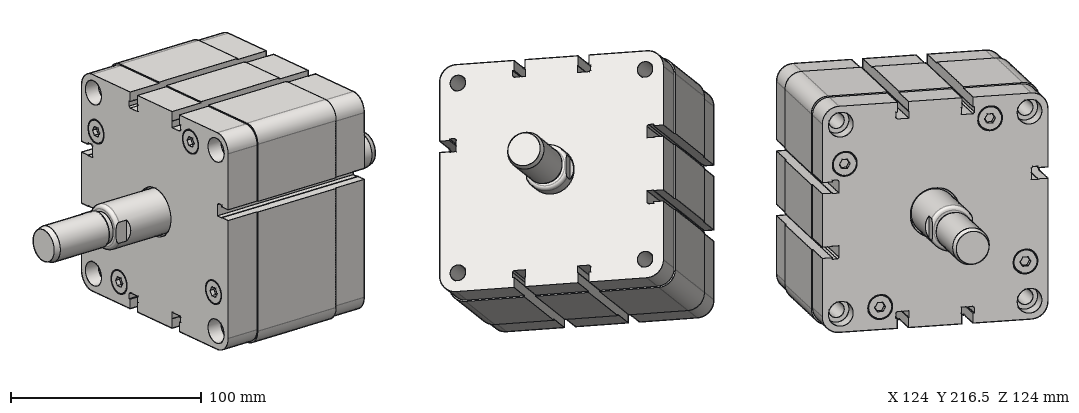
import cadquery as cq
import math


total_length = 216.5
rod_end = total_length / 2
rod_diameter = 25.0
rod_edge_radius = 2.2
thread_diameter = 20.0
thread_length = 36.4
tip_chamfer_length = 3.2
tip_chamfer_depth = 1.0
undercut_diameter = 17.5
undercut_length = 3.5
undercut_runout = 0.6
shoulder = rod_end - thread_length - undercut_length
flat_width = 21.9
flat_length = 7.4

barrel_side = 124.0
cap_inset = 0.6
cap_side = barrel_side - 2 * cap_inset
corner_radius = 9.0
body_front = -33.3
body_length = 91.8
cap_length = 19.5
body_back = body_front + body_length
barrel_length = body_length - 2 * cap_length

slot_offset = 17.5
slot_depth = 9.7
slot_width = 6.0
slot_foot_width = 7.1
slot_foot_shift = 0.32
slot_foot_height = 3.7
slot_foot_chamfer = 0.9
top, left, bottom, right = 0, 90, 180, 270
slots = [(top, -1), (top, 1), (left, -1), (left, 1), (bottom, -1), (bottom, 1), (right, -1)]

mount_offset = 51.3
mount_hole_diameter = 8.5
mount_bore_diameter = 13.5
mount_bore_depth = 8.7

screw_x = 29.9
screw_z = 49.1
screw_bore_diameter = 13.5
screw_head_diameter = 12.5
screw_gap_depth = 2.2
hex_across_flats = 5.0
hex_depth = 2.5

rod_recess_diameter = 27.0
rod_recess_depth = 2.2


def front_plane(y):
    """Plane across the rod axis at y, with local +Y along Z and its normal toward the front (-Y)."""
    return cq.Workplane("XZ", origin=(0, y, 0))


def square_block(side, y_front, length):
    block = front_plane(y_front).rect(side, side).extrude(-length)
    return block.edges("|Y").fillet(corner_radius)


def make_slot(turn, side):
    """Cutter for one slot; turn picks the body face and side the half of that face."""
    floor = barrel_side / 2 - slot_depth
    neck_height = slot_depth - slot_foot_chamfer
    foot = (
        front_plane(body_front)
        .center(side * (slot_offset + slot_foot_shift), floor + slot_foot_height / 2)
        .rect(slot_foot_width, slot_foot_height)
        .extrude(-body_length)
    )
    outer_edge = "<Z and >X" if side > 0 else "<Z and <X"
    foot = foot.edges(outer_edge).chamfer(slot_foot_chamfer)
    neck = (
        front_plane(body_front)
        .center(side * slot_offset, floor + slot_foot_chamfer + neck_height / 2)
        .rect(slot_width, neck_height)
        .extrude(-body_length)
    )
    return foot.union(neck).rotate((0, 0, 0), (0, -1, 0), turn)


def make_rod_half():
    """Front half of the rod, from mid-length to its tip, with two wrench flats."""
    rod_radius = rod_diameter / 2
    thread_radius = thread_diameter / 2
    undercut_radius = undercut_diameter / 2
    thread_start = shoulder + undercut_length
    front_half = (
        cq.Workplane("XY")
        .moveTo(0, 0)
        .lineTo(rod_radius, 0)
        .lineTo(rod_radius, -shoulder + rod_edge_radius)
        .radiusArc((rod_radius - rod_edge_radius, -shoulder), rod_edge_radius)
        .lineTo(undercut_radius, -shoulder)
        .lineTo(undercut_radius, -thread_start + undercut_runout)
        .lineTo(thread_radius, -thread_start)
        .lineTo(thread_radius, -rod_end + tip_chamfer_length)
        .lineTo(thread_radius - tip_chamfer_depth, -rod_end)
        .lineTo(0, -rod_end)
        .close()
        .revolve(360, (0, 0), (0, 1))
    )
    flat_cut_depth = rod_radius - flat_width / 2
    flat_end = -shoulder + flat_length
    flat_cutter = (
        cq.Workplane("XY", origin=(0, 0, -rod_radius))
        .moveTo(flat_width / 2, -shoulder)
        .lineTo(flat_width / 2, flat_end)
        .lineTo(rod_radius, flat_end + flat_cut_depth)
        .lineTo(rod_radius, -shoulder)
        .close()
        .extrude(rod_diameter)
    )
    return front_half.cut(flat_cutter).cut(flat_cutter.mirror("YZ"))


body = square_block(barrel_side, body_front + cap_length, barrel_length)
body = body.union(square_block(cap_side, body_front, cap_length))
body = body.union(square_block(cap_side, body_back - cap_length, cap_length))
for turn, side in slots:
    body = body.cut(make_slot(turn, side))

mount_points = [(x * mount_offset, z * mount_offset) for x in (-1, 1) for z in (-1, 1)]
front_face = front_plane(body_front)
body = body.cut(front_face.pushPoints(mount_points).circle(mount_hole_diameter / 2).extrude(-body_length))
body = body.cut(front_face.pushPoints(mount_points).circle(mount_bore_diameter / 2).extrude(-mount_bore_depth))

screw_points = [(screw_x, screw_z), (screw_z, -screw_x), (-screw_x, -screw_z), (-screw_z, screw_x)]
screw_gaps = (
    front_face.pushPoints(screw_points)
    .circle(screw_bore_diameter / 2)
    .circle(screw_head_diameter / 2)
    .extrude(-screw_gap_depth)
)
hex_across_corners = hex_across_flats / math.cos(math.radians(30))
hex_sockets = front_face.pushPoints(screw_points).polygon(6, hex_across_corners).extrude(-hex_depth)
body = body.cut(screw_gaps).cut(hex_sockets)

body = body.cut(front_face.circle(rod_recess_diameter / 2).extrude(-rod_recess_depth))
rod_half = make_rod_half()
result = body.union(rod_half).union(rod_half.mirror("XZ"))